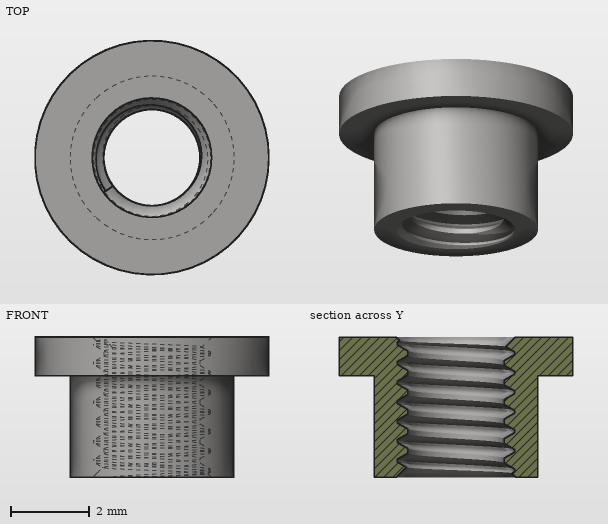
import cadquery as cq
import math

flange_diameter = 6.0
flange_thickness = 1.0
body_diameter = 4.2
total_height = 3.6

minor_diameter = 2.46
major_diameter = 3.0
pitch = flange_diameter / 12
flank_slope = math.tan(math.radians(30))
thread_turns = 8
thread_end_height = 3.48
thread_end_angle = 216
cutter_overlap = 0.03

countersink_diameter = 3.06


def make_bush():
    body = cq.Workplane("XY").circle(body_diameter / 2).extrude(total_height)
    flange = (
        cq.Workplane("XY")
        .workplane(offset=total_height - flange_thickness)
        .circle(flange_diameter / 2)
        .extrude(flange_thickness)
    )
    return body.union(flange)


def make_bore():
    bore_radius = minor_diameter / 2
    mouth_radius = countersink_diameter / 2
    depth = mouth_radius - bore_radius
    return (
        cq.Workplane("XZ")
        .moveTo(0, 0)
        .lineTo(mouth_radius, 0)
        .lineTo(bore_radius, depth)
        .lineTo(bore_radius, total_height - depth)
        .lineTo(mouth_radius, total_height)
        .lineTo(0, total_height)
        .close()
        .revolve(360, (0, 0, 0), (0, 1, 0))
    )


def make_thread_groove():
    """Trapezoidal groove swept on a helix, ending just inside the upper mouth."""
    helix_height = thread_turns * pitch
    root_radius = major_diameter / 2
    inner_radius = minor_diameter / 2 - cutter_overlap
    half_root = pitch / 16
    half_opening = half_root + (root_radius - inner_radius) * flank_slope
    helix = cq.Wire.makeHelix(pitch, helix_height, minor_diameter / 2)
    groove = (
        cq.Workplane("XZ")
        .moveTo(inner_radius, -half_opening)
        .lineTo(root_radius, -half_root)
        .lineTo(root_radius, half_root)
        .lineTo(inner_radius, half_opening)
        .close()
        .sweep(cq.Workplane(obj=helix), isFrenet=True)
    )
    return groove.rotate((0, 0, 0), (0, 0, 1), thread_end_angle).translate(
        (0, 0, thread_end_height - helix_height)
    )


result = make_bush().cut(make_thread_groove()).cut(make_bore())